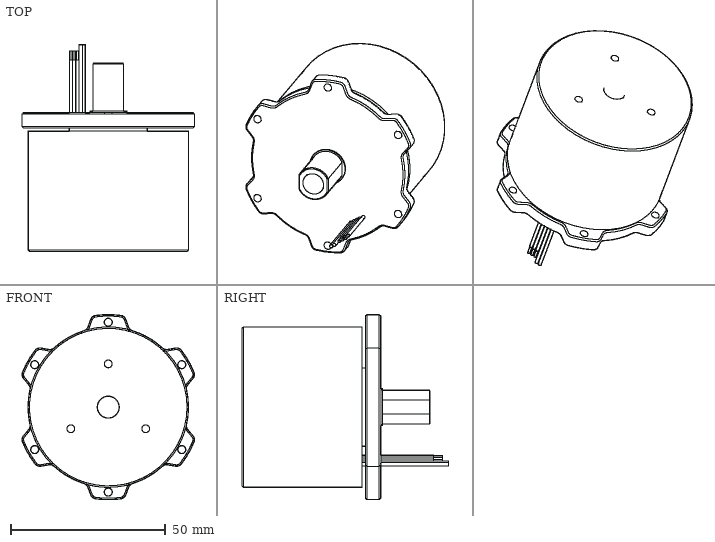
import cadquery as cq
import math


body_radius = 26.0
body_length = 39.0
body_chamfer = 0.5

bore_radius = 3.5
bore_mouth_fillet = 1.0
tapped_hole_count = 3
tapped_hole_radius = 1.25
tapped_hole_circle_radius = 14.0
tapped_hole_depth = 4.0
drill_tip_angle = 118.0

neck_radius = 12.7
neck_length = 1.0

flange_thickness = 5.0
flange_radius = body_radius
flange_chamfer = 0.5
lobe_count = 6
lobe_radius = 30.0
lobe_tip_half_width = 5.3
lobe_flank_angle = 20.0
lobe_root_depth = 6.0
lobe_corner_fillet = 2.0
lobe_root_fillet = 2.0
flange_hole_radius = 1.25
flange_hole_circle_radius = 27.5

collar_radius = 6.0
collar_length = 0.5
shaft_radius = 5.5
shaft_width_across_flats = 10.0
shaft_end_y = 61.0
shaft_end_chamfer = 0.3

wire_radius = 0.55
wire_pitch = 1.2
wire_circle_radius = 20.0
wire_row_angle = 240.0
phase_wire_count = 3
signal_wire_count = 2
phase_insulation_end_y = 62.0
phase_conductor_radius = 0.4
phase_conductor_end_y = 65.0
signal_wire_end_y = 67.0

flange_front_y = body_length + neck_length
flange_back_y = flange_front_y + flange_thickness
collar_end_y = flange_back_y + collar_length

joint_overlap = 0.5

radius_tolerance = 0.01


def section(y):
    """Sketch plane across the axis at height y, with local x = X and local y = Z."""
    return cq.Workplane("XZ", origin=(0, y, 0))


def cylinder(radius, start_y, end_y, x=0.0, z=0.0):
    return section(start_y).center(x, z).circle(radius).extrude(start_y - end_y)


def turn(shape, angle):
    """Rotate about the motor axis, counter-clockwise for someone looking toward +Y."""
    return shape.rotate((0, 0, 0), (0, -1, 0), angle)


def make_body():
    body = cylinder(body_radius, 0, body_length)
    return body.faces("<Y").edges().chamfer(body_chamfer)


def make_lobe():
    tip_edge_z = math.sqrt(lobe_radius**2 - lobe_tip_half_width**2)
    root_z = flange_radius - lobe_root_depth
    flank_run = (tip_edge_z - root_z) * math.tan(math.radians(lobe_flank_angle))
    root_half_width = lobe_tip_half_width + flank_run
    lobe = (
        section(flange_front_y)
        .moveTo(-root_half_width, root_z)
        .lineTo(-lobe_tip_half_width, tip_edge_z)
        .threePointArc((0, lobe_radius), (lobe_tip_half_width, tip_edge_z))
        .lineTo(root_half_width, root_z)
        .close()
        .extrude(-flange_thickness)
    )
    outer_corners = cq.selectors.BoxSelector(
        (-lobe_radius, flange_front_y, flange_radius),
        (lobe_radius, flange_back_y, lobe_radius),
    )
    return lobe.edges("|Y").edges(outer_corners).fillet(lobe_corner_fillet)


def is_lobe_root(edge):
    center = edge.Center()
    return abs(math.hypot(center.x, center.z) - flange_radius) < radius_tolerance


def make_flange():
    lobe = make_lobe()
    lobe_step = 360.0 / lobe_count
    flange = turn(cylinder(flange_radius, flange_front_y, flange_back_y), lobe_step / 2)
    for index in range(lobe_count):
        flange = flange.union(turn(lobe, index * lobe_step))
    flange = flange.edges("|Y").filter(is_lobe_root).fillet(lobe_root_fillet)
    flange = flange.faces("<Y or >Y").edges().chamfer(flange_chamfer)

    hole = cylinder(flange_hole_radius, flange_front_y, flange_back_y, z=flange_hole_circle_radius)
    for index in range(lobe_count):
        flange = flange.cut(turn(hole, index * lobe_step))
    return flange


def make_shaft():
    shaft = cylinder(shaft_radius, flange_front_y, shaft_end_y)
    flat_envelope = cq.Workplane("XY").box(
        shaft_width_across_flats, 2 * shaft_end_y, 2 * shaft_radius
    )
    shaft = shaft.intersect(flat_envelope)
    shaft = shaft.faces(">Y").edges().chamfer(shaft_end_chamfer)
    return shaft.union(cylinder(collar_radius, flange_front_y, collar_end_y))


def make_wires():
    row_angle = math.radians(wire_row_angle)
    wire_count = phase_wire_count + signal_wire_count
    root_y = body_length - joint_overlap
    wires = []
    for index in range(wire_count):
        offset = (index - (wire_count - 1) / 2) * wire_pitch
        x = wire_circle_radius * math.cos(row_angle) - offset * math.sin(row_angle)
        z = wire_circle_radius * math.sin(row_angle) + offset * math.cos(row_angle)
        if index < phase_wire_count:
            wires.append(cylinder(wire_radius, root_y, phase_insulation_end_y, x, z))
            wires.append(cylinder(phase_conductor_radius, root_y, phase_conductor_end_y, x, z))
        else:
            wires.append(cylinder(wire_radius, root_y, signal_wire_end_y, x, z))
    return wires


def cut_bore(part):
    part = part.cut(cylinder(bore_radius, 0, shaft_end_y))
    box_half_size = 2 * bore_radius
    bore_mouth = cq.selectors.BoxSelector(
        (-box_half_size, -body_chamfer / 2, -box_half_size),
        (box_half_size, body_chamfer / 2, box_half_size),
        boundingbox=True,
    )
    return part.edges(bore_mouth).fillet(bore_mouth_fillet)


def cut_tapped_holes(part):
    tip_length = tapped_hole_radius / math.tan(math.radians(drill_tip_angle / 2))
    hole = (
        cq.Workplane("XY")
        .lineTo(tapped_hole_radius, 0)
        .lineTo(tapped_hole_radius, tapped_hole_depth)
        .lineTo(0, tapped_hole_depth + tip_length)
        .close()
        .revolve(360, (0, 0), (0, 1))
        .translate((0, 0, tapped_hole_circle_radius))
    )
    for index in range(tapped_hole_count):
        part = part.cut(turn(hole, index * 360.0 / tapped_hole_count))
    return part


motor = make_body()
motor = motor.union(cylinder(neck_radius, body_length - joint_overlap, flange_front_y + joint_overlap))
motor = motor.union(make_flange())
motor = motor.union(make_shaft())
motor = cut_bore(motor)
motor = cut_tapped_holes(motor)
for wire in make_wires():
    motor = motor.union(wire)

result = motor